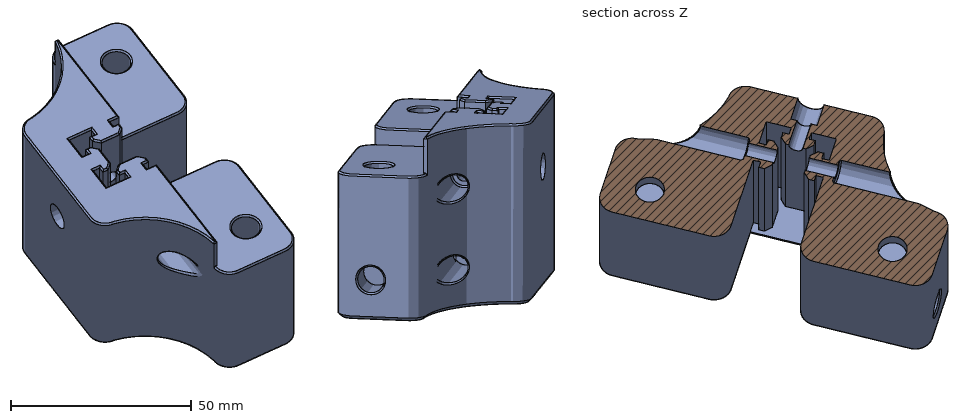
import cadquery as cq
import math

LENGTH = 96.0
DEPTH = 50.0
HEIGHT = 51.5
ARM_HEIGHT = 41.3

CORNER_RADIUS = 5.0
COVE_RADIUS = 25.0
NOSE_FLAT_WIDTH = 34.9
COVE_TOP_Y = 25.0
BLOCK_BACK_Y = 26.0

CHAMFER_ANGLE = 45
TOP_CHAMFER = 0.5
BOTTOM_CHAMFER = 1.0
MOUTH_CHAMFER = 0.5

POCKET_WIDTH = 20.2
POCKET_FLOOR_Z = 1.5
RAIL_Y = 20.0
POCKET_FRONT_Y = RAIL_Y - POCKET_WIDTH / 2
KEY_NECK_WIDTH = 6.0
KEY_HEAD_WIDTH = 9.5
KEY_HEAD_START = 2.0
KEY_LENGTH = 5.5
KEY_ROOT = 1.0

SCREW_DIAMETER = 4.0
HEAD_DIAMETER = 7.5
ARM_HOLE_DIAMETER = 8.0
LOWER_HOLE_Z = 11.4
UPPER_HOLE_Z = 34.5
ARM_HOLE_X = 35.0
ARM_HOLE_Y = 40.0
ARM_HOLE_DEPTH = 10.0
UPPER_SEAT_WALL = 2.9
LOWER_SEAT_PENETRATION = 1.0
SEAT_CONE = 0.5

HALF_LENGTH = LENGTH / 2
HALF_POCKET = POCKET_WIDTH / 2
BLOCK_HALF_LENGTH = HALF_LENGTH - CORNER_RADIUS
NOSE_FLAT = NOSE_FLAT_WIDTH / 2
HALF_NOSE = NOSE_FLAT + CORNER_RADIUS

CHORD_X = BLOCK_HALF_LENGTH - HALF_NOSE
CHORD_Y = COVE_TOP_Y - CORNER_RADIUS
CENTER_PER_CHORD = math.sqrt((COVE_RADIUS / math.hypot(CHORD_X, CHORD_Y)) ** 2 - 0.25)
COVE_X = -(BLOCK_HALF_LENGTH + HALF_NOSE) / 2 - CHORD_Y * CENTER_PER_CHORD
COVE_Y = (COVE_TOP_Y + CORNER_RADIUS) / 2 - CHORD_X * CENTER_PER_CHORD


def front_outline(start):
    """Run from the left cove end along the coves and nose to the right cove end."""
    return (
        start.radiusArc((-HALF_NOSE, CORNER_RADIUS), COVE_RADIUS)
        .radiusArc((-NOSE_FLAT, 0), -CORNER_RADIUS)
        .lineTo(NOSE_FLAT, 0)
        .radiusArc((HALF_NOSE, CORNER_RADIUS), -CORNER_RADIUS)
        .radiusArc((BLOCK_HALF_LENGTH, COVE_TOP_Y), COVE_RADIUS)
    )


def base_outline(z):
    """Full-depth outline with two arms around the rear gap, drawn at a height."""
    inner_corner_x = HALF_POCKET + CORNER_RADIUS
    arm_front_y = COVE_TOP_Y + CORNER_RADIUS
    arm_back_y = DEPTH - CORNER_RADIUS
    outline = front_outline(cq.Workplane("XY", origin=(0, 0, z)).moveTo(-BLOCK_HALF_LENGTH, COVE_TOP_Y))
    return (
        outline.radiusArc((HALF_LENGTH, arm_front_y), -CORNER_RADIUS)
        .lineTo(HALF_LENGTH, arm_back_y)
        .radiusArc((BLOCK_HALF_LENGTH, DEPTH), -CORNER_RADIUS)
        .lineTo(inner_corner_x, DEPTH)
        .radiusArc((HALF_POCKET, arm_back_y), -CORNER_RADIUS)
        .lineTo(HALF_POCKET, BLOCK_BACK_Y)
        .lineTo(-HALF_POCKET, BLOCK_BACK_Y)
        .lineTo(-HALF_POCKET, arm_back_y)
        .radiusArc((-inner_corner_x, DEPTH), -CORNER_RADIUS)
        .lineTo(-BLOCK_HALF_LENGTH, DEPTH)
        .radiusArc((-HALF_LENGTH, arm_back_y), -CORNER_RADIUS)
        .lineTo(-HALF_LENGTH, arm_front_y)
        .radiusArc((-BLOCK_HALF_LENGTH, COVE_TOP_Y), -CORNER_RADIUS)
        .close()
    )


def make_base():
    """Lower body whose bottom and top rims taper inward as chamfers."""
    rim_z = ARM_HEIGHT - TOP_CHAMFER
    wall = base_outline(BOTTOM_CHAMFER).extrude(rim_z - BOTTOM_CHAMFER)
    bottom_rim = base_outline(BOTTOM_CHAMFER).extrude(-BOTTOM_CHAMFER, taper=CHAMFER_ANGLE)
    top_rim = base_outline(rim_z).extrude(TOP_CHAMFER, taper=CHAMFER_ANGLE)
    return wall.union(bottom_rim).union(top_rim)


def make_block():
    """Taller front block that stands on the base."""
    start_z = ARM_HEIGHT / 2
    start = cq.Workplane("XY", origin=(0, 0, start_z)).moveTo(-BLOCK_HALF_LENGTH, COVE_TOP_Y)
    return (
        front_outline(start)
        .lineTo(BLOCK_HALF_LENGTH, BLOCK_BACK_Y)
        .lineTo(-BLOCK_HALF_LENGTH, BLOCK_BACK_Y)
        .close()
        .extrude(HEIGHT - start_z)
    )


def make_key():
    """T-shaped key that points toward +Y from the front wall of the pocket."""
    half_neck = KEY_NECK_WIDTH / 2
    half_head = KEY_HEAD_WIDTH / 2
    bevel = half_head - half_neck
    right_side = [
        (half_neck, -KEY_ROOT),
        (half_neck, KEY_HEAD_START),
        (half_head, KEY_HEAD_START),
        (half_head, KEY_LENGTH - bevel),
        (half_neck, KEY_LENGTH),
    ]
    left_side = [(-x, y) for x, y in reversed(right_side)]
    return (
        cq.Workplane("XY", origin=(0, POCKET_FRONT_Y, POCKET_FLOOR_Z))
        .polyline(right_side + left_side)
        .close()
        .extrude(HEIGHT - POCKET_FLOOR_Z)
    )


def make_pocket():
    """Rail-shaped pocket, open at the top and toward the rear gap."""
    pocket = (
        cq.Workplane("XY", origin=(0, 0, POCKET_FLOOR_Z))
        .moveTo(-HALF_POCKET, POCKET_FRONT_Y)
        .lineTo(HALF_POCKET, POCKET_FRONT_Y)
        .lineTo(HALF_POCKET, BLOCK_BACK_Y)
        .lineTo(-HALF_POCKET, BLOCK_BACK_Y)
        .close()
        .extrude(HEIGHT - POCKET_FLOOR_Z)
    )
    for angle in (-90, 0, 90):
        pocket = pocket.cut(make_key().rotate((0, RAIL_Y, 0), (0, RAIL_Y, 1), angle))
    return pocket


def rod(start, direction, length, diameter):
    """Cylinder that begins at a point and runs along a direction."""
    cylinder = cq.Solid.makeCylinder(diameter / 2, length, cq.Vector(start), cq.Vector(direction))
    return cq.Workplane(cylinder)


def break_mouth(body, center):
    """Chamfer the edge where a hole opens onto the surface around a point."""
    reach = HEAD_DIAMETER
    low = [c - reach for c in center]
    high = [c + reach for c in center]
    mouth_box = cq.selectors.BoxSelector(low, high, boundingbox=True)
    return body.edges(mouth_box).chamfer(MOUTH_CHAMFER)


def cut_side_screws(body):
    """Screw holes into the rail: an upper one on each side, a lower one on the left."""
    head_start_x = HALF_POCKET + UPPER_SEAT_WALL
    for side in (-1, 1):
        seat = (side * head_start_x, RAIL_Y, UPPER_HOLE_Z)
        head = rod(seat, (side, 0, 0), HALF_LENGTH, HEAD_DIAMETER)
        head = head.faces("<X" if side > 0 else ">X").chamfer(SEAT_CONE)
        body = body.cut(head)
    lower_seat = (LOWER_SEAT_PENETRATION - HALF_POCKET, RAIL_Y, LOWER_HOLE_Z)
    body = body.cut(rod(lower_seat, (-1, 0, 0), HALF_LENGTH, HEAD_DIAMETER))

    mouth_x = math.sqrt(COVE_RADIUS**2 - (RAIL_Y - COVE_Y) ** 2) + COVE_X
    body = break_mouth(body, (mouth_x, RAIL_Y, UPPER_HOLE_Z))
    body = break_mouth(body, (-mouth_x, RAIL_Y, UPPER_HOLE_Z))
    body = break_mouth(body, (mouth_x, RAIL_Y, LOWER_HOLE_Z))

    body = body.cut(rod((-HALF_LENGTH, RAIL_Y, UPPER_HOLE_Z), (1, 0, 0), LENGTH, SCREW_DIAMETER))
    return body.cut(rod((-HALF_LENGTH, RAIL_Y, LOWER_HOLE_Z), (1, 0, 0), HALF_LENGTH, SCREW_DIAMETER))


def cut_front_screw(body):
    """Counterbored screw hole through the nose and the front key."""
    start = (0, 0, UPPER_HOLE_Z)
    head_depth = POCKET_FRONT_Y - UPPER_SEAT_WALL
    body = body.cut(rod(start, (0, 1, 0), head_depth, HEAD_DIAMETER))
    return body.cut(rod(start, (0, 1, 0), RAIL_Y, SCREW_DIAMETER))


def cut_arm_holes(body):
    """Blind holes in the arm tops and one in the left end."""
    for x in (-ARM_HOLE_X, ARM_HOLE_X):
        mouth = (x, ARM_HOLE_Y, ARM_HEIGHT)
        body = body.cut(rod(mouth, (0, 0, -1), ARM_HOLE_DEPTH, ARM_HOLE_DIAMETER))
        body = break_mouth(body, mouth)
    mouth = (-HALF_LENGTH, ARM_HOLE_Y, LOWER_HOLE_Z)
    body = body.cut(rod(mouth, (1, 0, 0), ARM_HOLE_DEPTH, HEAD_DIAMETER))
    return break_mouth(body, mouth)


result = make_base().union(make_block()).cut(make_pocket())
result = result.faces(">Z").chamfer(TOP_CHAMFER)
result = cut_side_screws(result)
result = cut_front_screw(result)
result = cut_arm_holes(result)